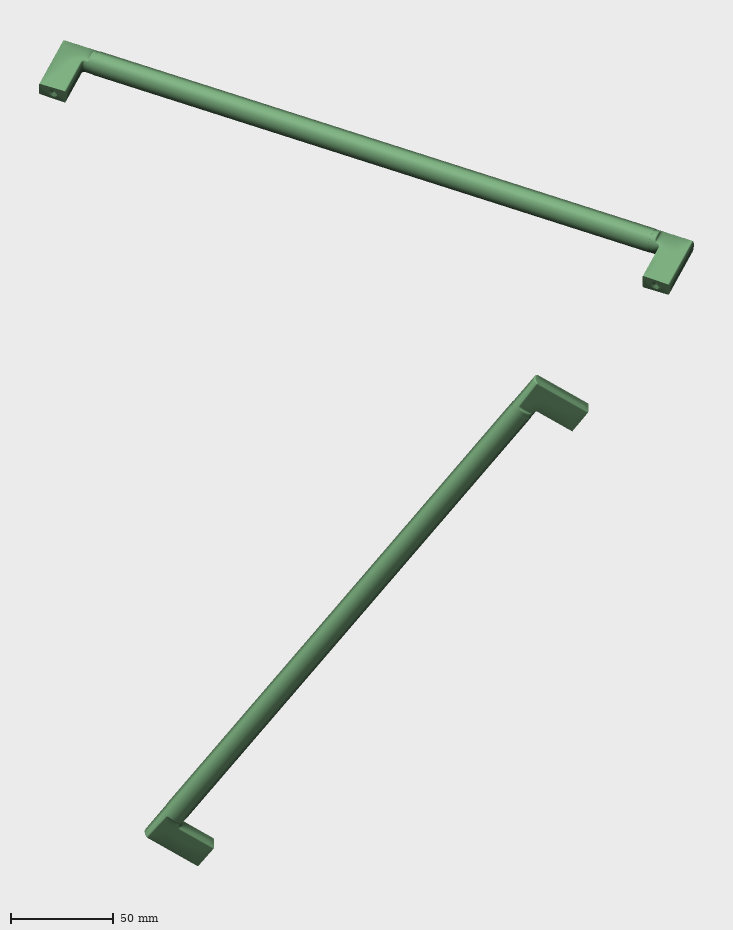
import cadquery as cq

length = 334.0
depth = 32.0
tube_diameter = 12.0

leg_width = 14.0
outer_thickness = 7.7
inner_thickness = 8.7
arm_length = 16.7
collar_width = 3.0
arm_diameter = 11.7
corner_fillet = 1.0
edge_fillet = 0.7
step_radius = 0.7
screw_hole_diameter = 2.7
screw_hole_offset = 7.5
screw_hole_depth = 10.0
countersink_diameter = 4.7
countersink_depth = 0.7

outer_x = -length / 2
inner_x = outer_x + leg_width
arm_end_x = outer_x + arm_length
collar_end_x = arm_end_x + collar_width
tube_radius = tube_diameter / 2
arm_radius = arm_diameter / 2
front_y = tube_radius - depth
tube_length = -2 * collar_end_x


def rod(start_x, rod_length, radius):
    """Round rod along the X axis."""
    return cq.Workplane("YZ", origin=(start_x, 0, 0)).circle(radius).extrude(rod_length)


def round_backed_elbow():
    """Untapered leg joined to a round arm, whose roundness carries on along the back of the leg."""
    leg = cq.Workplane("XY").box(leg_width, -front_y, inner_thickness, centered=(False, False, True))
    leg = leg.translate((outer_x, front_y, 0))
    return leg.union(rod(outer_x, arm_length + collar_width, arm_radius))


def upper_envelope():
    """Upper half of the bracket's envelope: a taper, a curved step, then the collar's full height."""
    arm_top_z = inner_thickness / 2
    step_start_x = arm_end_x - step_radius
    return (
        cq.Workplane("XZ", origin=(0, tube_radius, 0))
        .moveTo(outer_x, outer_thickness / 2)
        .lineTo(step_start_x, arm_top_z)
        .radiusArc((arm_end_x, arm_top_z + step_radius), -step_radius)
        .lineTo(arm_end_x, tube_radius)
        .lineTo(collar_end_x, tube_radius)
        .lineTo(collar_end_x, 0)
        .lineTo(outer_x, 0)
        .close()
        .extrude(depth)
    )


def countersunk_hole():
    """Blind screw hole in the leg's front face."""
    drill_face = cq.Workplane("XZ", origin=(outer_x + screw_hole_offset, front_y, 0))
    bore = drill_face.circle(screw_hole_diameter / 2).extrude(-screw_hole_depth)
    countersink = (
        drill_face.circle(countersink_diameter / 2)
        .workplane(offset=-countersink_depth)
        .circle(screw_hole_diameter / 2)
        .loft()
    )
    return bore.union(countersink)


def left_bracket():
    """L-shaped bracket with a tapered leg, rounded edges, a round collar and a screw hole."""
    envelope = upper_envelope()
    bracket = round_backed_elbow().intersect(envelope.union(envelope.mirror("XY")))
    inner_corner = cq.selectors.NearestToPointSelector((inner_x, -arm_radius, 0))
    bracket = bracket.edges(inner_corner).fillet(corner_fillet)
    back_edges = bracket.edges("%ELLIPSE").edges(">Y")
    bracket = bracket.faces("<X").edges("not <Y").add(back_edges).fillet(edge_fillet)
    return bracket.cut(countersunk_hole())


tube = rod(-tube_length / 2, tube_length, tube_radius)
left = left_bracket()
brackets = [bracket.solids().val() for bracket in (left, left.mirror("YZ"))]
result = cq.Compound.makeCompound([tube.val(), *brackets])